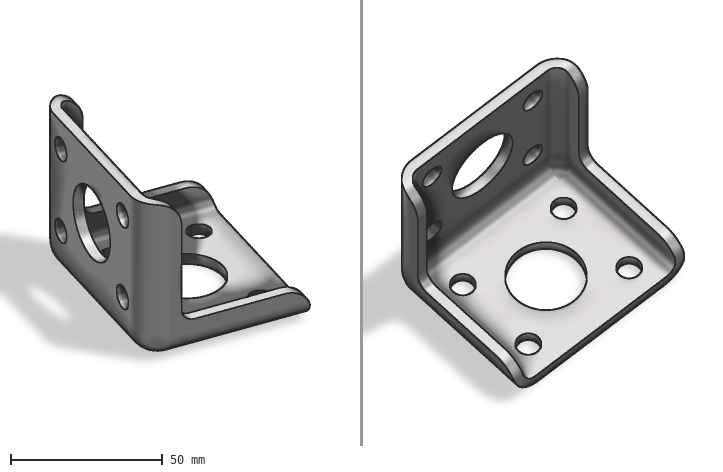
import cadquery as cq

width = 76.0
reach = 62.0
wall = 4.0

outer_radius = 10.0
bend_inner_radius = outer_radius - wall
side_inner_radius = 5.0

lip_height = 14.0
lip_end_radius = lip_height - wall
lip_corner_radius = 5.0

bore_diameter = 27.0
bolt_diameter = 8.5
bolt_spacing_across = 45.0
bolt_spacing_along = 32.0
pattern_distance = 35.0
hole_cut_depth = 2 * wall


def rounded_block(inset, bend_radius, side_radius):
    """Block whose bottom front edge and side edges are rounded, inset from the outer faces."""
    block_width = width - 2 * inset
    block = cq.Workplane("XY").box(block_width, reach, reach, centered=(True, False, False))
    block = block.translate((0, inset, inset))
    block = block.edges("<Y and <Z").fillet(bend_radius)
    lowest_side_edges = block.faces("<Z").edges("|Y")
    return lowest_side_edges.fillet(side_radius)


def lip_outline():
    """L-shaped side outline, with rounded lip ends and inside corner, as wide as the part."""
    outline = (
        cq.Workplane("YZ")
        .polyline([
            (0, 0),
            (reach, 0),
            (reach, lip_height),
            (lip_height, lip_height),
            (lip_height, reach),
            (0, reach),
        ])
        .close()
        .extrude(width / 2, both=True)
    )
    inside_corner = cq.selectors.NearestToPointSelector((0, lip_height, lip_height))
    outline = outline.edges("|X").edges(inside_corner).fillet(lip_corner_radius)
    for end_corner in [(0, reach, lip_height), (0, lip_height, reach)]:
        nearest = cq.selectors.NearestToPointSelector(end_corner)
        outline = outline.edges("|X").edges(nearest).fillet(lip_end_radius)
    return outline


def plate_holes(plate_face):
    """Cutters for the bore and four bolt holes, starting on the outer face of a plate."""
    pattern = plate_face.center(0, pattern_distance)
    bore = pattern.circle(bore_diameter / 2).extrude(hole_cut_depth)
    bolts = (
        pattern.rect(bolt_spacing_across, bolt_spacing_along, forConstruction=True)
        .vertices()
        .circle(bolt_diameter / 2)
        .extrude(hole_cut_depth)
    )
    return bore.union(bolts)


shell = rounded_block(0, outer_radius, outer_radius)
cavity = rounded_block(wall, bend_inner_radius, side_inner_radius)
bracket = shell.intersect(lip_outline()).cut(cavity)

floor_holes = plate_holes(cq.Workplane("XY"))
front_holes = plate_holes(cq.Workplane("XZ")).mirror("XZ")

result = bracket.cut(floor_holes).cut(front_holes)